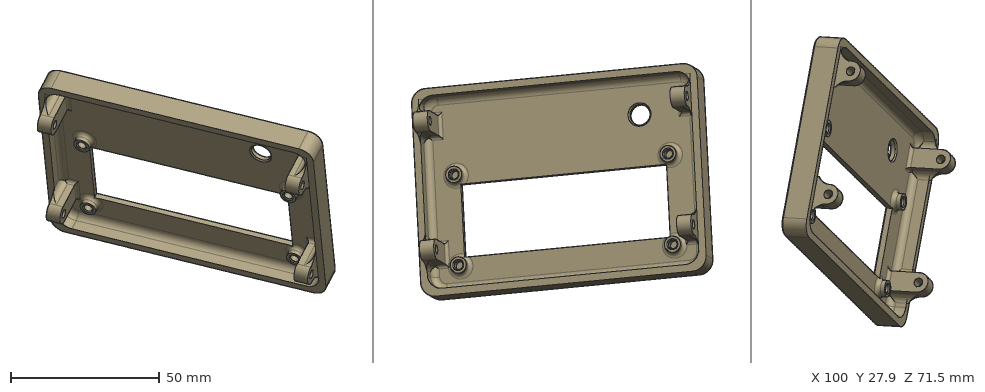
import cadquery as cq
import math

LEAN = 10.5

WIDTH = 100.0
HEIGHT = 71.1
DEPTH = 9.0
WALL = 2.5
FLOOR = 2.5
CORNER_RADIUS = 5.0
FLOOR_FILLET = 2.5
EDGE_CHAMFER = 0.5

DISPLAY_Y = 26.0
WINDOW_WIDTH = 72.0
WINDOW_HEIGHT = 25.0
STANDOFF_SPACING_X = 75.0
STANDOFF_SPACING_Y = 31.0
STANDOFF_RADIUS = 2.8
STANDOFF_HEIGHT = 3.0
STANDOFF_FILLET = 1.5
PILOT_RADIUS = 1.5
PILOT_CHAMFER = 0.4

BUTTON_X = 27.5
BUTTON_Y = 56.3
BUTTON_RADIUS = 3.5

LUG_THICKNESS = 5.0
LUG_RADIUS = 3.5
LUG_HOLE_RADIUS = 1.5
LUG_ABOVE_RIM = 5.0
LUG_Y_LOW = 15.0
LUG_Y_HIGH = 59.0
LUG_WALL_FILLET = 2.5
LUG_FLOOR_FILLET = 1.2

inner_x = WIDTH / 2 - WALL
inner_top = HEIGHT - WALL
inner_width = 2 * inner_x
inner_height = HEIGHT - 2 * WALL
lug_x = inner_x - LUG_THICKNESS
lug_z = DEPTH + LUG_ABOVE_RIM
lug_top = lug_z + LUG_RADIUS


def box(x0, x1, y0, y1, z0, z1):
    """Block between two opposite corners."""
    return cq.Workplane("XY").box(x1 - x0, y1 - y0, z1 - z0, centered=False).translate((x0, y0, z0))


def cylinder(x, y, radius, z0, z1):
    """Upright round bar."""
    return cq.Workplane("XY", origin=(x, y, z0)).circle(radius).extrude(z1 - z0)


def rounded_column(width, height, z0, z1):
    """Block with rounded upright edges, centred on the face of the bezel."""
    column = cq.Workplane("XY", origin=(0, HEIGHT / 2, z0)).rect(width, height).extrude(z1 - z0)
    return column.edges("|Z").fillet(CORNER_RADIUS)


def make_tray():
    """Shallow tray: chamfered front edge, cavity filleted along its floor."""
    outer = rounded_column(WIDTH, HEIGHT, 0, DEPTH).faces("<Z").chamfer(EDGE_CHAMFER)
    cavity = rounded_column(inner_width, inner_height, FLOOR, lug_top)
    return outer.cut(cavity.faces("<Z").edges().fillet(FLOOR_FILLET))


def make_standoff(x, y):
    """Solid post with a concave fillet round its foot."""
    foot = STANDOFF_RADIUS + STANDOFF_FILLET
    arc_drop = STANDOFF_FILLET * (1 - math.sqrt(0.5))
    profile = (
        cq.Workplane("XZ")
        .lineTo(foot, 0)
        .lineTo(foot, FLOOR)
        .threePointArc(
            (STANDOFF_RADIUS + arc_drop, FLOOR + arc_drop),
            (STANDOFF_RADIUS, FLOOR + STANDOFF_FILLET),
        )
        .lineTo(STANDOFF_RADIUS, FLOOR + STANDOFF_HEIGHT)
        .lineTo(0, FLOOR + STANDOFF_HEIGHT)
        .close()
    )
    return profile.revolve(360, (0, 0, 0), (0, 1, 0)).translate((x, y, 0))


def make_pilot_hole(x, y):
    """Blind hole down to the floor level, chamfered at its mouth."""
    top = FLOOR + STANDOFF_HEIGHT
    hole = cylinder(x, y, PILOT_RADIUS, FLOOR, top)
    mouth = (
        cq.Workplane("XY", origin=(x, y, top))
        .circle(PILOT_RADIUS + PILOT_CHAMFER)
        .extrude(-PILOT_CHAMFER, taper=45)
    )
    return hole.union(mouth)


def make_window():
    """Display opening with a chamfered front edge."""
    start = cq.Workplane("XY", origin=(0, DISPLAY_Y, 0))
    opening = start.rect(WINDOW_WIDTH, WINDOW_HEIGHT).extrude(FLOOR + STANDOFF_HEIGHT)
    bevel = start.rect(WINDOW_WIDTH + 2 * EDGE_CHAMFER, WINDOW_HEIGHT + 2 * EDGE_CHAMFER)
    return opening.union(bevel.extrude(EDGE_CHAMFER, taper=45))


def make_button_hole():
    """Round opening chamfered on both faces of the floor."""
    hole = cylinder(BUTTON_X, BUTTON_Y, BUTTON_RADIUS, 0, FLOOR)
    for z, direction in ((0, 1), (FLOOR, -1)):
        mouth = cq.Workplane("XY", origin=(BUTTON_X, BUTTON_Y, z)).circle(BUTTON_RADIUS + EDGE_CHAMFER)
        hole = hole.union(mouth.extrude(direction * EDGE_CHAMFER, taper=45))
    return hole


def make_wall_fillet(y, side):
    """Concave fillet between the cavity wall and one side (+1 upper, -1 lower) of a lug."""
    lug_side = y + side * LUG_RADIUS
    centre_x = inner_x - LUG_WALL_FILLET
    centre_y = lug_side + side * LUG_WALL_FILLET
    end_y = centre_y
    rise = centre_y - (inner_top - CORNER_RADIUS)
    if rise > 0:
        centre_gap = CORNER_RADIUS - LUG_WALL_FILLET
        centre_x = inner_x - CORNER_RADIUS + math.sqrt(centre_gap**2 - rise**2)
        end_y = centre_y + rise * LUG_WALL_FILLET / centre_gap
    block = box(centre_x, inner_x, min(lug_side, end_y), max(lug_side, end_y), FLOOR, lug_top)
    return block.cut(cylinder(centre_x, centre_y, LUG_WALL_FILLET, FLOOR, lug_top))


def make_foot(y):
    """Concave fillets where a lug meets the floor, mitred at their corners."""
    fillet = LUG_FLOOR_FILLET
    top = FLOOR + fillet
    x0 = lug_x - fillet
    half = LUG_RADIUS + fillet
    foot = box(x0, inner_x, y - half, y + half, FLOOR, top)
    foot = foot.cut(cq.Workplane("XZ", origin=(x0, y + half, top)).circle(fillet).extrude(2 * half))
    for side_y in (y - half, y + half):
        groove = cq.Workplane("YZ", origin=(x0, side_y, top)).circle(fillet)
        foot = foot.cut(groove.extrude(inner_x - x0))
    return foot


def make_lug(y):
    """Right-hand hinge lug rising from the floor along the wall and flaring out onto the rim."""
    flare = LUG_ABOVE_RIM
    half = LUG_RADIUS + flare
    arc_x = half - flare * math.sqrt(0.5)
    arc_z = lug_z - flare * math.sqrt(0.5)
    slab = (
        cq.Workplane("YZ", origin=(lug_x, y, 0))
        .moveTo(-half, FLOOR)
        .lineTo(half, FLOOR)
        .lineTo(half, DEPTH)
        .threePointArc((arc_x, arc_z), (LUG_RADIUS, lug_z))
        .threePointArc((0, lug_top), (-LUG_RADIUS, lug_z))
        .threePointArc((-arc_x, arc_z), (-half, DEPTH))
        .close()
        .extrude(LUG_THICKNESS)
    )
    clearance = rounded_column(inner_width, inner_height, FLOOR, lug_top)
    clearance = clearance.cut(box(lug_x, inner_x, y - LUG_RADIUS, y + LUG_RADIUS, FLOOR, lug_top))
    for side in (-1, 1):
        clearance = clearance.cut(make_wall_fillet(y, side))
    pin_hole = cq.Workplane("YZ", origin=(lug_x, y, lug_z)).circle(LUG_HOLE_RADIUS)
    return slab.cut(clearance).union(make_foot(y)).cut(pin_hole.extrude(LUG_THICKNESS))


bezel = make_tray()

for lug_y in (LUG_Y_LOW, LUG_Y_HIGH):
    lug = make_lug(lug_y)
    bezel = bezel.union(lug).union(lug.mirror("YZ"))

standoff_places = [
    (side_x * STANDOFF_SPACING_X / 2, DISPLAY_Y + side_y * STANDOFF_SPACING_Y / 2)
    for side_x in (-1, 1)
    for side_y in (-1, 1)
]
for place in standoff_places:
    bezel = bezel.union(make_standoff(*place)).cut(make_pilot_hole(*place))

bezel = bezel.cut(make_window()).cut(make_button_hole())

result = bezel.rotate((0, 0, 0), (1, 0, 0), 90 + LEAN)